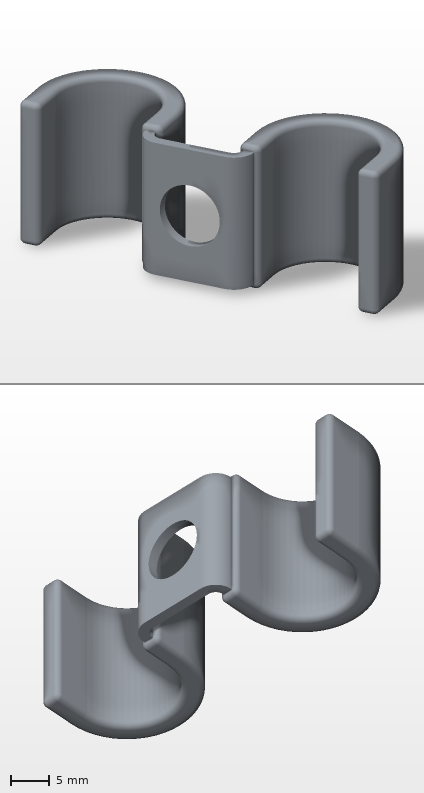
import cadquery as cq

length = 52.2
depth = 18.15
height = 20.55

hook_radius = 10.25
pad_wall = 3.05
outer_leg = 5.55
inner_leg = 4.95
edge_radius = 0.8

strip_wall = 1.5
strip_height = height - 2 * edge_radius
bend_radius = 2.85
hole_diameter = 8.7

hook_x = length / 2 - hook_radius
bore_radius = hook_radius - pad_wall
mid_radius = hook_radius - pad_wall / 2
strip_half = hook_x - mid_radius + strip_wall / 2
strip_y = hook_radius - depth


def make_hook(side):
    """Round-edged hook; side is -1 for the left one and +1 for the right one."""
    hook = (
        cq.Workplane("XY")
        .moveTo(-hook_radius, -inner_leg)
        .lineTo(-hook_radius, 0)
        .threePointArc((0, hook_radius), (hook_radius, 0))
        .lineTo(hook_radius, -outer_leg)
        .lineTo(bore_radius, -outer_leg)
        .lineTo(bore_radius, 0)
        .threePointArc((0, bore_radius), (-bore_radius, 0))
        .lineTo(-bore_radius, -inner_leg)
        .close()
        .extrude(height / 2, both=True)
    )
    hook = hook.faces("<Z or >Z").edges().add(hook.faces("-Y").edges()).fillet(edge_radius)
    hook = hook.translate((hook_x, 0, 0))
    if side < 0:
        hook = hook.mirror("YZ")
    return hook


def make_u_block(half_width, bottom_y, top_y, corner_radius):
    """Strip-height block with its two lower corners rounded."""
    return (
        cq.Workplane("XY")
        .box(2 * half_width, top_y - bottom_y, strip_height)
        .translate((0, (top_y + bottom_y) / 2, 0))
        .edges("|Z and <Y")
        .fillet(corner_radius)
    )


def make_strip():
    """Bent U strip whose arms run up inside the inner legs of the hooks."""
    outside = make_u_block(strip_half, strip_y, 0, bend_radius)
    inside = make_u_block(
        strip_half - strip_wall, strip_y + strip_wall, 0, bend_radius - strip_wall
    )
    hole = (
        cq.Workplane("XZ", origin=(0, strip_y + depth, 0))
        .circle(hole_diameter / 2)
        .extrude(2 * depth)
    )
    return outside.cut(inside).cut(hole)


result = make_strip()
for side in (-1, 1):
    result = result.union(make_hook(side))